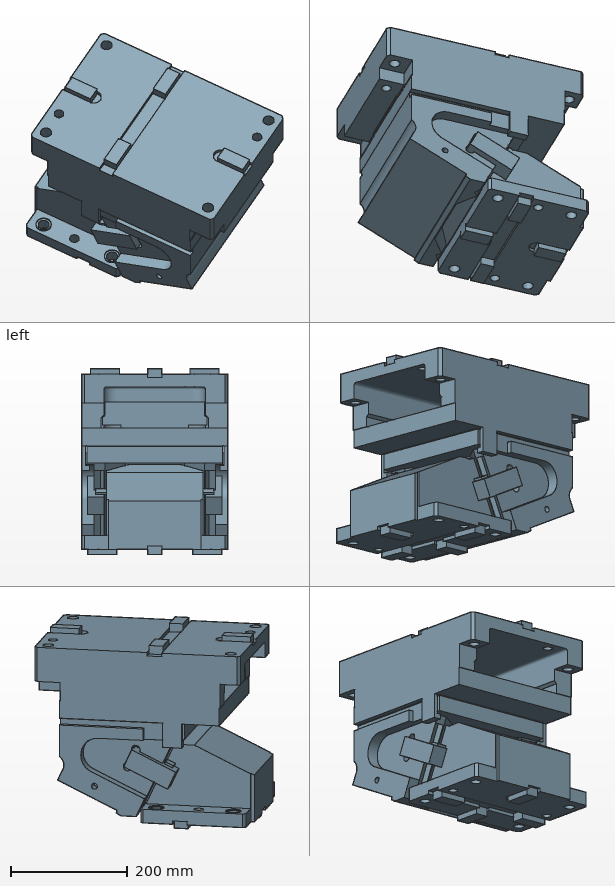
import cadquery as cq
import math


CAM_ANGLE = 25.0
SIN_CAM = math.sin(math.radians(CAM_ANGLE))
COS_CAM = math.cos(math.radians(CAM_ANGLE))
TAN_CAM = math.tan(math.radians(CAM_ANGLE))

OVERALL_LENGTH = 375.0
OVERALL_HEIGHT = 318.0
HALF_WIDTH = 125.0
CORNER_CHAMFER = 5.0

KEY_LENGTH = 50.0
KEY_WIDTH = 24.0
KEY_PROUD = 9.0
KEY_SLOT_WIDTH = 25.5
KEY_SLOT_DEPTH = 6.0
KEY_HEIGHT = KEY_PROUD + KEY_SLOT_DEPTH
SCREW_HOLE_D = 18.5
DOWEL_HOLE_D = 16.0
SCREW_Y = 105.0

BASE_BOTTOM = KEY_PROUD
FLANGE_LEFT = 6.0
FLANGE_RIGHT = 190.0
FLANGE_TOP = 33.0
DRIVE_FOOT_X = 188.5
CORE_HALF_WIDTH = 82.5
CORE_TOP = 140.0
FRONT_STEP_HALF_WIDTH = 79.5
FRONT_EDGE_HEIGHT = 91.5
DRIVE_TOP = 143.5
NOSE_HEIGHT = 25.0
NOSE_HALF_FLAT = 45.0
BASE_CROSS_SLOT_X = 120.7
BASE_CROSS_KEY_Y = 90.0
BASE_SCREW_X = (31.5, 166.0)
BASE_DOWEL_X = 92.0
SPOTFACE_D = 26.0
SPOTFACE_DEPTH = 1.5
LUG_LENGTH = 24.0
LUG_THICKNESS = 4.0
LUG_SETBACK = 9.5
LUG_Y = 101.0

HANGER_TOP = OVERALL_HEIGHT - KEY_PROUD
HANGER_LEFT = 16.0
HANGER_KEY_MARGIN = 4.5
LEFT_LIP_BOTTOM = 259.0
RIGHT_LIP_BOTTOM = 249.0
BLOCK_LEFT = 50.5
BLOCK_RIGHT = 330.0
BAR_LEFT = 52.0
BAR_RIGHT = 331.5
BAR_TOP = 217.0
BAR_BOTTOM = 186.0
HANGER_CROSS_SLOT_X = 165.5
HANGER_CROSS_KEY_Y = 85.0
HANGER_SCREW_MARGIN = 20.0
HANGER_DOWEL_Y = (-60.0, 65.0)
LEG_LEFT = 117.5
LEG_RIGHT = 151.0
LEG_BOTTOM = 143.5
LEG_INNER_Y = 118.3
HOOK_INNER_Y = 111.5
HOOK_TOP = 152.5

TUNNEL_HALF_WIDTH = 87.0
TUNNEL_TOP = 287.0
TUNNEL_END = 315.0
TUNNEL_END_RADIUS = 21.0
TUNNEL_ROOF_FILLET = 5.0
TUNNEL_FOOT_HALF_WIDTH = 91.7
TUNNEL_FOOT_TOP = 234.0
STOP_CLEARANCE = 2.0
STOP_LEFT = 285.0
STOP_TOP = 261.5
STOP_BOTTOM = 221.5
STOP_FOOT_RIGHT = 333.0
STOP_PLATE_BOTTOM = 224.5
STOP_FOOT_HALF_WIDTH = 58.0

DRIVE_GAP = 2.5
NOSE_FLANK_CLEARANCE = 6.0
SLIDE_TOP = 184.5
SLIDE_BOTTOM = 19.5
SLIDE_LEFT = 114.6
SLIDE_RIGHT = 331.5
TOE_RIGHT = 224.0
TOE_NIB = (232.0, 24.4)
UNDERSIDE_START = (231.0, 29.0)
HEEL_X = 334.6
NOTCH_START_X = 327.0
NOTCH_MIDDLE = (323.7, 105.0)
NOTCH_TOP = 119.0
SLIDE_CORE_HALF_WIDTH = 104.0
GUIDE_HALF_WIDTH = 116.0
GUIDE_BOTTOM = 157.0
CHEEK_LEFT = 185.0
CHEEK_TOP = 174.2
POCKET_TOP = 154.2
POCKET_RADIUS = 31.0
POCKET_ARC_X = 263.0
SIDE_HOLE_D = 10.0
SIDE_HOLE_X = 270.0
SIDE_HOLE_Z = 69.5
SIDE_HOLE_DEPTH = 20.0
DRILL_POINT_ANGLE = 118.0
VEE_INNER_Y = 86.5
VEE_ROOT_Y = 93.0
VEE_DEPTH = 6.0
RETURN_KEY_LENGTH = 84.5
RETURN_KEY_WIDTH = 33.5
RETURN_KEY_X = 175.5
RETURN_KEY_Z = 101.3
RETURN_KEY_INNER_Y = 86.5
RETURN_KEY_OUTER_Y = 115.5
SEAT_END_CLEARANCE = 1.5
RELIEF_RADIUS = 7.5
RELIEF_INSET = 5.0


def block(x0, x1, y0, y1, z0, z1):
    return cq.Workplane("XY").box(x1 - x0, y1 - y0, z1 - z0, centered=False).translate((x0, y0, z0))


def centred_block(x0, x1, half_width, z0, z1):
    return block(x0, x1, -half_width, half_width, z0, z1)


def side_sketch(y):
    """Workplane in X and Z at the given Y; extruding runs toward -Y."""
    return cq.Workplane("XZ", origin=(0, y, 0))


def both_sides(solid):
    return solid.union(solid.mirror("XZ"))


def drive_face_x(z, gap=0.0):
    """X of the inclined drive face at height z, offset along its normal by gap."""
    return DRIVE_FOOT_X - (z - FLANGE_TOP) * TAN_CAM + gap / COS_CAM


def drive_face_sketch(gap=0.0):
    """Plane across the top of the drive face: local X along the width, local Y along the face normal."""
    origin = (drive_face_x(DRIVE_TOP, gap), 0, DRIVE_TOP)
    return cq.Workplane(cq.Plane(origin=origin, xDir=(0, -1, 0), normal=(-SIN_CAM, 0, COS_CAM)))


def drive_nose(length, rise=0.0, flank_clearance=0.0):
    """Ridge on the drive face, running down it by length from a point that is rise beyond its top edge."""
    half_root = CORE_HALF_WIDTH + flank_clearance
    half_flat = NOSE_HALF_FLAT + flank_clearance
    profile = [
        (-half_root, 0),
        (-half_flat, NOSE_HEIGHT),
        (half_flat, NOSE_HEIGHT),
        (half_root, 0),
    ]
    return drive_face_sketch().workplane(offset=rise).polyline(profile).close().extrude(-length - rise)


def locating_keys(left, right, cross_x, cross_y, z0):
    """Two keys along X at the ends and two along Y in the cross slot."""
    keys = centred_block(left, left + KEY_LENGTH, KEY_WIDTH / 2, z0, z0 + KEY_HEIGHT)
    keys = keys.union(centred_block(right - KEY_LENGTH, right, KEY_WIDTH / 2, z0, z0 + KEY_HEIGHT))
    for side in (-1, 1):
        cross_key = cq.Workplane("XY").box(KEY_WIDTH, KEY_LENGTH, KEY_HEIGHT, centered=(True, True, False))
        keys = keys.union(cross_key.translate((cross_x, side * cross_y, z0)))
    return keys


def key_slots(left, right, left_edge, right_edge, cross_x, z0):
    """Round-ended slots from each end face, and a cross slot over the full width."""
    half = KEY_SLOT_WIDTH / 2
    slots = centred_block(cross_x - half, cross_x + half, HALF_WIDTH, z0, z0 + KEY_SLOT_DEPTH)
    for edge, end in ((left_edge, left + KEY_LENGTH), (right_edge, right - KEY_LENGTH)):
        slots = slots.union(centred_block(min(edge, end), max(edge, end), half, z0, z0 + KEY_SLOT_DEPTH))
        round_end = cq.Workplane("XY").circle(half).extrude(KEY_SLOT_DEPTH)
        slots = slots.union(round_end.translate((end, 0, z0)))
    return slots


def vertical_holes(points, diameter, z0, z1):
    return cq.Workplane("XY", origin=(0, 0, z0)).pushPoints(points).circle(diameter / 2).extrude(z1 - z0)


def return_key_sketch(y):
    """Side workplane centred on the return key, with local X along the cam angle."""
    return side_sketch(y).center(RETURN_KEY_X, RETURN_KEY_Z).transformed(rotate=(0, 0, CAM_ANGLE))


def return_key():
    depth = RETURN_KEY_OUTER_Y - RETURN_KEY_INNER_Y
    return return_key_sketch(RETURN_KEY_OUTER_Y).rect(RETURN_KEY_LENGTH, RETURN_KEY_WIDTH).extrude(depth)


def make_base():
    top_break_x = drive_face_x(DRIVE_TOP) - (DRIVE_TOP - CORE_TOP) / TAN_CAM
    core_outline = [
        (0, BASE_BOTTOM),
        (FLANGE_RIGHT, BASE_BOTTOM),
        (FLANGE_RIGHT, FLANGE_TOP),
        (DRIVE_FOOT_X, FLANGE_TOP),
        (drive_face_x(DRIVE_TOP), DRIVE_TOP),
        (top_break_x, CORE_TOP),
        ((CORE_TOP - FRONT_EDGE_HEIGHT) / TAN_CAM, CORE_TOP),
        (0, FRONT_EDGE_HEIGHT),
    ]
    core = side_sketch(CORE_HALF_WIDTH).polyline(core_outline).close().extrude(2 * CORE_HALF_WIDTH)
    front_step = block(0, FLANGE_LEFT, FRONT_STEP_HALF_WIDTH, CORE_HALF_WIDTH, 0, CORE_TOP)
    core = core.cut(both_sides(front_step))

    flange = centred_block(FLANGE_LEFT, FLANGE_RIGHT, HALF_WIDTH, BASE_BOTTOM, FLANGE_TOP)
    flange = flange.edges("|Z").chamfer(CORNER_CHAMFER)
    nose = drive_nose((DRIVE_TOP - FLANGE_TOP) / COS_CAM)
    base = core.union(flange).union(nose)

    lug = (
        return_key_sketch(LUG_Y)
        .center(
            LUG_SETBACK + (LUG_LENGTH - RETURN_KEY_LENGTH) / 2,
            (RETURN_KEY_WIDTH + LUG_THICKNESS) / 2,
        )
        .rect(LUG_LENGTH, LUG_THICKNESS)
        .extrude(LUG_Y - CORE_HALF_WIDTH)
    )
    drive_side = [
        (0, 0),
        (drive_face_x(0), 0),
        (drive_face_x(DRIVE_TOP), DRIVE_TOP),
        (0, DRIVE_TOP),
    ]
    lug = lug.intersect(side_sketch(HALF_WIDTH).polyline(drive_side).close().extrude(HALF_WIDTH))
    base = base.union(both_sides(lug))

    screws = [(x, side * SCREW_Y) for x in BASE_SCREW_X for side in (-1, 1)]
    dowels = [(BASE_DOWEL_X, side * SCREW_Y) for side in (-1, 1)]
    base = base.cut(vertical_holes(screws, SCREW_HOLE_D, BASE_BOTTOM, FLANGE_TOP))
    base = base.cut(vertical_holes(screws, SPOTFACE_D, FLANGE_TOP - SPOTFACE_DEPTH, FLANGE_TOP))
    base = base.cut(vertical_holes(dowels, DOWEL_HOLE_D, BASE_BOTTOM, FLANGE_TOP))

    base = base.cut(key_slots(FLANGE_LEFT, FLANGE_RIGHT, 0, FLANGE_RIGHT, BASE_CROSS_SLOT_X, BASE_BOTTOM))
    return base.union(locating_keys(FLANGE_LEFT, FLANGE_RIGHT, BASE_CROSS_SLOT_X, BASE_CROSS_KEY_Y, 0))


def hanger_tunnel():
    """Tunnel from the left end, with a rounded far end and a wider foot above the bar."""
    tunnel = centred_block(0, TUNNEL_END, TUNNEL_HALF_WIDTH, BAR_TOP, TUNNEL_TOP)
    tunnel = tunnel.edges("|Z and >X").fillet(TUNNEL_END_RADIUS)
    tunnel = tunnel.faces(">Z").edges().fillet(TUNNEL_ROOF_FILLET)
    return tunnel.union(foot_profile(0, TUNNEL_END - TUNNEL_END_RADIUS, BAR_TOP, STOP_TOP, 0))


def foot_profile(x0, x1, bottom, top, clearance):
    """Block with 45 degree shoulders narrowing from the foot width to the tunnel width."""
    wide = TUNNEL_FOOT_HALF_WIDTH - clearance
    narrow = TUNNEL_HALF_WIDTH - clearance
    shoulder_top = TUNNEL_FOOT_TOP + wide - narrow
    outline = [
        (-wide, bottom),
        (wide, bottom),
        (wide, TUNNEL_FOOT_TOP),
        (narrow, shoulder_top),
        (narrow, top),
        (-narrow, top),
        (-narrow, shoulder_top),
        (-wide, TUNNEL_FOOT_TOP),
    ]
    return cq.Workplane("YZ", origin=(x0, 0, 0)).polyline(outline).close().extrude(x1 - x0)


def stop_block():
    """Block closing the far end of the tunnel: a shoulder, an end plate and a foot standing on the bar."""
    shoulder = foot_profile(STOP_LEFT, BLOCK_RIGHT, STOP_BOTTOM, STOP_TOP, STOP_CLEARANCE)
    plate_half_width = TUNNEL_HALF_WIDTH - STOP_CLEARANCE
    plate = centred_block(STOP_LEFT, OVERALL_LENGTH, plate_half_width, STOP_PLATE_BOTTOM, STOP_TOP)
    foot = centred_block(STOP_LEFT, STOP_FOOT_RIGHT, STOP_FOOT_HALF_WIDTH, BAR_TOP, STOP_BOTTOM)
    return shoulder.union(plate).union(foot)


def make_hanger():
    outline = [
        (HANGER_LEFT, HANGER_TOP),
        (HANGER_LEFT, LEFT_LIP_BOTTOM),
        (BLOCK_LEFT, LEFT_LIP_BOTTOM),
        (BLOCK_LEFT, BAR_TOP),
        (BLOCK_RIGHT, BAR_TOP),
        (BLOCK_RIGHT, RIGHT_LIP_BOTTOM),
        (OVERALL_LENGTH, RIGHT_LIP_BOTTOM),
        (OVERALL_LENGTH, HANGER_TOP),
    ]
    hanger = side_sketch(HALF_WIDTH).polyline(outline).close().extrude(2 * HALF_WIDTH)
    hanger = hanger.edges("|Z and (<X or >X)").chamfer(CORNER_CHAMFER)
    hanger = hanger.cut(hanger_tunnel()).union(stop_block())
    hanger = hanger.union(centred_block(BAR_LEFT, BAR_RIGHT, HALF_WIDTH, BAR_BOTTOM, BAR_TOP))

    pad = centred_block(SLIDE_LEFT, BAR_RIGHT, GUIDE_HALF_WIDTH, SLIDE_TOP, BAR_BOTTOM)
    hanger = hanger.union(pad)

    leg = block(LEG_LEFT, LEG_RIGHT, LEG_INNER_Y, HALF_WIDTH, LEG_BOTTOM, BAR_BOTTOM)
    hook = block(LEG_LEFT, LEG_RIGHT, HOOK_INNER_Y, HALF_WIDTH, LEG_BOTTOM, HOOK_TOP)
    hanger = hanger.union(both_sides(leg.union(hook)))

    hole_x = (HANGER_LEFT + HANGER_SCREW_MARGIN, OVERALL_LENGTH - HANGER_SCREW_MARGIN)
    screws = [(x, side * SCREW_Y) for x in hole_x for side in (-1, 1)]
    dowels = list(zip(hole_x, HANGER_DOWEL_Y))
    hanger = hanger.cut(vertical_holes(screws, SCREW_HOLE_D, RIGHT_LIP_BOTTOM, HANGER_TOP))
    hanger = hanger.cut(vertical_holes(dowels, DOWEL_HOLE_D, BAR_TOP, HANGER_TOP))

    left = HANGER_LEFT + HANGER_KEY_MARGIN
    right = OVERALL_LENGTH - HANGER_KEY_MARGIN
    slot_floor = HANGER_TOP - KEY_SLOT_DEPTH
    hanger = hanger.cut(
        key_slots(left, right, HANGER_LEFT, OVERALL_LENGTH, HANGER_CROSS_SLOT_X, slot_floor)
    )
    return hanger.union(locating_keys(left, right, HANGER_CROSS_SLOT_X, HANGER_CROSS_KEY_Y, slot_floor))


def slide_body(half_width):
    """Full-width slide: underside square to the drive face, and a round notch above the heel."""
    heel_z = UNDERSIDE_START[1] + (HEEL_X - UNDERSIDE_START[0]) * TAN_CAM
    notch_start_z = heel_z + (HEEL_X - NOTCH_START_X) / TAN_CAM
    return (
        side_sketch(half_width)
        .moveTo(drive_face_x(SLIDE_BOTTOM, DRIVE_GAP), SLIDE_BOTTOM)
        .lineTo(TOE_RIGHT, SLIDE_BOTTOM)
        .lineTo(*TOE_NIB)
        .lineTo(*UNDERSIDE_START)
        .lineTo(HEEL_X, heel_z)
        .lineTo(NOTCH_START_X, notch_start_z)
        .threePointArc(NOTCH_MIDDLE, (SLIDE_RIGHT, NOTCH_TOP))
        .lineTo(SLIDE_RIGHT, SLIDE_TOP)
        .lineTo(SLIDE_LEFT, SLIDE_TOP)
        .lineTo(SLIDE_LEFT, GUIDE_BOTTOM)
        .lineTo(drive_face_x(GUIDE_BOTTOM, DRIVE_GAP), GUIDE_BOTTOM)
        .close()
        .extrude(2 * half_width)
    )


def side_pocket():
    """Round-ended pocket in the slide side, open toward the drive face."""
    arc_z = POCKET_TOP - POCKET_RADIUS
    end_x = POCKET_ARC_X + POCKET_RADIUS * SIN_CAM
    end_z = arc_z - POCKET_RADIUS * COS_CAM
    return (
        side_sketch(HALF_WIDTH)
        .moveTo(0, POCKET_TOP)
        .lineTo(POCKET_ARC_X, POCKET_TOP)
        .threePointArc((POCKET_ARC_X + POCKET_RADIUS, arc_z), (end_x, end_z))
        .lineTo(0, end_z - end_x * TAN_CAM)
        .close()
        .extrude(HALF_WIDTH - SLIDE_CORE_HALF_WIDTH)
    )


def make_slide():
    slide = slide_body(HALF_WIDTH)

    beside_guide = block(0, OVERALL_LENGTH, GUIDE_HALF_WIDTH, HALF_WIDTH, CHEEK_TOP, SLIDE_TOP)
    ahead_of_cheek = block(0, CHEEK_LEFT, GUIDE_HALF_WIDTH, HALF_WIDTH, POCKET_TOP, SLIDE_TOP)
    slide = slide.cut(both_sides(beside_guide.union(ahead_of_cheek)))
    slide = slide.cut(both_sides(side_pocket()))

    below_guide = centred_block(0, OVERALL_LENGTH, HALF_WIDTH, 0, GUIDE_BOTTOM)
    recess = drive_nose(OVERALL_HEIGHT, GUIDE_BOTTOM, NOSE_FLANK_CLEARANCE)
    slide = slide.cut(recess.intersect(below_guide))

    vee = [(VEE_INNER_Y, 0), (VEE_ROOT_Y, VEE_DEPTH), (SLIDE_CORE_HALF_WIDTH, 0)]
    vee_groove = drive_face_sketch(DRIVE_GAP).polyline(vee).close().extrude(-OVERALL_HEIGHT)
    slide = slide.cut(both_sides(vee_groove))

    seat_depth = SLIDE_CORE_HALF_WIDTH - RETURN_KEY_INNER_Y
    seat = (
        return_key_sketch(SLIDE_CORE_HALF_WIDTH)
        .center(SEAT_END_CLEARANCE / 2, 0)
        .rect(RETURN_KEY_LENGTH + SEAT_END_CLEARANCE, RETURN_KEY_WIDTH)
        .extrude(seat_depth)
    )
    relief_x = RETURN_KEY_LENGTH / 2 - RELIEF_INSET
    reliefs = (
        return_key_sketch(SLIDE_CORE_HALF_WIDTH)
        .pushPoints([(relief_x, side * RETURN_KEY_WIDTH / 2) for side in (-1, 1)])
        .circle(RELIEF_RADIUS)
        .extrude(seat_depth)
    )
    slide = slide.cut(both_sides(seat.union(reliefs)))
    slide = slide.union(both_sides(return_key()))

    radius = SIDE_HOLE_D / 2
    point_depth = radius / math.tan(math.radians(DRILL_POINT_ANGLE / 2))
    side_hole = (
        cq.Workplane("XY", origin=(SIDE_HOLE_X, HALF_WIDTH, SIDE_HOLE_Z))
        .lineTo(radius, 0)
        .lineTo(radius, -SIDE_HOLE_DEPTH)
        .lineTo(0, -SIDE_HOLE_DEPTH - point_depth)
        .close()
        .revolve(360, (0, 0, 0), (0, 1, 0))
    )
    return slide.cut(both_sides(side_hole))


base = make_base()
hanger = make_hanger()
slide = make_slide()

bodies = [base, hanger, slide]
result = cq.Compound.makeCompound([body.solids().val() for body in bodies])